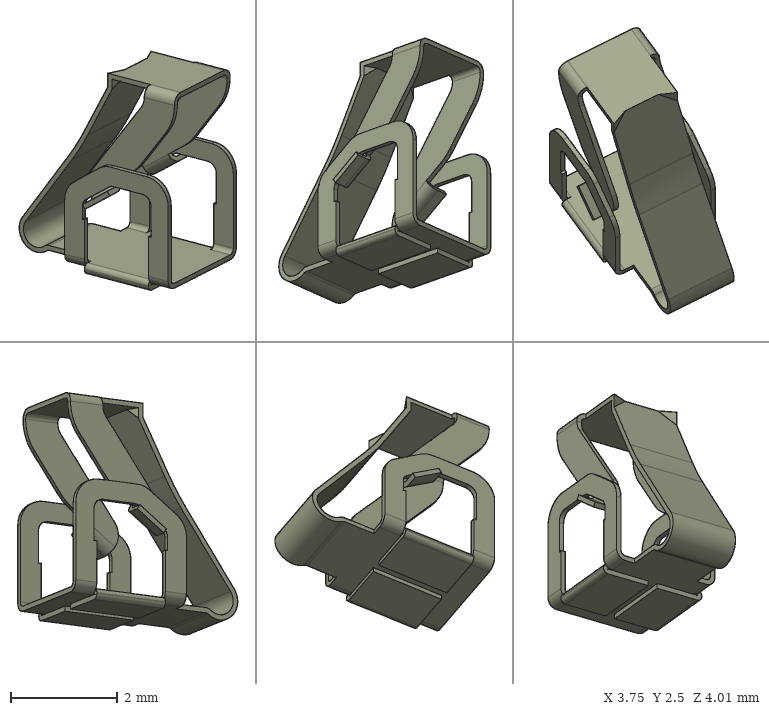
import cadquery as cq
import math

length = 3.75
height = 4.01
sheet = 0.1
bend_outer = 2 * sheet

strip_width = 1.4
arm_width_over = 1.8
leg_width_over = 2.2
tab_width_over = 2.5

arm_out = arm_width_over / 2
leg_out = leg_width_over / 2
tab_out = tab_width_over / 2

hem_gap = 0.01
base_bottom = sheet + hem_gap
base_start = 1.347
hem_inner = 0.1

loop_radius = 0.4
loop_center = (loop_radius, 0.41)
reverse_radius = 0.1
lower_slope = 54.2
upper_slope = 61.8
slope_bend_radius = 5.0
lip_x = 2.057
lip_bottom = 3.735
gusset_width = 0.335

frame_top = 2.318
rear_bar = 0.41
front_bar = 0.395
top_bar = 0.38
slant_bar = 0.4
slant = 35.0
slant_top_x = 2.26
foot_width = 0.457
foot_top = 1.115
frame_outer_radius = 0.5
frame_inner_radius = 0.2

arm_width = 0.7
arm_slope = 53.2
arm_rear_radius = 0.36
arm_front_radius = 1.002
arm_heel_radius = 0.4
arm_toe_radius = 1.002
tab_width = arm_width
tab_start = 0.313
tab_clearance = 0.055


tiny = 4.01e-05


def direction(degrees):
    return math.cos(math.radians(degrees)), math.sin(math.radians(degrees))


def along(point, degrees, distance):
    dx, dz = direction(degrees)
    return point[0] + distance * dx, point[1] + distance * dz


def meet(point_a, degrees_a, point_b, degrees_b):
    """Crossing of two lines, each given by a point and an angle."""
    ax, az = direction(degrees_a)
    bx, bz = direction(degrees_b)
    gap_x = point_b[0] - point_a[0]
    gap_z = point_b[1] - point_a[1]
    distance = (gap_x * bz - gap_z * bx) / (ax * bz - az * bx)
    return along(point_a, degrees_a, distance)


def rounding(before, corner, after, radius):
    """Start, middle and end of the arc that rounds a corner."""
    angle_in = math.atan2(before[1] - corner[1], before[0] - corner[0])
    angle_out = math.atan2(after[1] - corner[1], after[0] - corner[0])
    half = math.acos(math.cos(angle_out - angle_in)) / 2
    tangent = radius / math.tan(half)
    start = along(corner, math.degrees(angle_in), tangent)
    end = along(corner, math.degrees(angle_out), tangent)
    center_way = math.degrees(math.atan2(
        math.sin(angle_in) + math.sin(angle_out),
        math.cos(angle_in) + math.cos(angle_out),
    ))
    middle = along(corner, center_way, radius / math.sin(half) - radius)
    return start, middle, end


def rounded_outline(plane, corners):
    """Closed outline through (point, radius) corners; radius 0 stays sharp."""
    here = corners[0][0]
    outline = plane.moveTo(*here)
    for index in range(1, len(corners)):
        point, radius = corners[index]
        start, middle, end = point, None, point
        if radius > 0:
            before = corners[index - 1][0]
            after = corners[(index + 1) % len(corners)][0]
            start, middle, end = rounding(before, point, after, radius)
        if math.dist(here, start) > tiny:
            outline = outline.lineTo(*start)
        if radius > 0:
            outline = outline.threePointArc(middle, end)
        here = end
    return outline.close()


def side_sheet(corners, outer_face):
    """Upright sheet on the -Y side with its outer face at the given distance."""
    plane = cq.Workplane("XZ").workplane(offset=outer_face - sheet)
    return rounded_outline(plane, corners).extrude(sheet)


def quarter_bend(axis_point, first_way, axis_way, bend_length):
    """Quarter of a tube around an axis, beginning on the first_way side."""
    inner = bend_outer - sheet
    diagonal = math.sqrt(0.5)
    return (
        cq.Workplane(cq.Plane(origin=axis_point, xDir=first_way, normal=axis_way))
        .moveTo(inner, 0)
        .lineTo(bend_outer, 0)
        .threePointArc((bend_outer * diagonal, bend_outer * diagonal), (0, bend_outer))
        .lineTo(0, inner)
        .threePointArc((inner * diagonal, inner * diagonal), (inner, 0))
        .close()
        .extrude(bend_length)
    )


lip_foot = (lip_x, lip_bottom)
loop_tangent = along(loop_center, lower_slope + 90, loop_radius)
slope_corner = meet(loop_tangent, lower_slope, lip_foot, upper_slope)
slope_bend_start, _, _ = rounding(loop_tangent, slope_corner, lip_foot, slope_bend_radius)
slope_bend_center = along(slope_bend_start, lower_slope + 90, slope_bend_radius)

reverse_center_z = base_bottom - reverse_radius
reverse_angle = math.degrees(math.acos(
    (loop_center[1] - reverse_center_z) / (loop_radius + reverse_radius)
))
reverse_center = along(loop_center, reverse_angle - 90, loop_radius + reverse_radius)


def slope_x(z, depth):
    """X of the upper slope at a height, at a depth below its rear face."""
    on_face = along(lip_foot, upper_slope - 90, depth)
    return meet(on_face, upper_slope, (0, z), 0)[0]


def strip_line(depth):
    """Points of the strip's profile at a depth inside its outer face, from base to top."""
    loop_r = loop_radius - depth
    reverse_r = reverse_radius + depth
    bend_r = slope_bend_radius + depth
    loop_end = lower_slope + 90
    loop_begin = reverse_angle - 90
    loop_middle = (loop_begin + loop_end - 360) / 2
    bend_begin = lower_slope - 90
    bend_end = upper_slope - 90
    return [
        (length, base_bottom + depth),
        along(reverse_center, 90, reverse_r),
        along(reverse_center, 90 + reverse_angle / 2, reverse_r),
        along(reverse_center, 90 + reverse_angle, reverse_r),
        along(loop_center, loop_middle, loop_r),
        along(loop_center, loop_end, loop_r),
        along(slope_bend_center, bend_begin, bend_r),
        along(slope_bend_center, (bend_begin + bend_end) / 2, bend_r),
        along(slope_bend_center, bend_end, bend_r),
        (slope_x(height - depth, depth), height - depth),
        (length, height - depth),
    ]


def strip():
    outer = strip_line(0)
    inner = strip_line(sheet)
    inner.reverse()
    return (
        cq.Workplane("XZ")
        .moveTo(*outer[0])
        .lineTo(*outer[1])
        .threePointArc(outer[2], outer[3])
        .threePointArc(outer[4], outer[5])
        .lineTo(*outer[6])
        .threePointArc(outer[7], outer[8])
        .lineTo(*outer[9])
        .lineTo(*outer[10])
        .lineTo(*inner[0])
        .lineTo(*inner[1])
        .lineTo(*inner[2])
        .threePointArc(inner[3], inner[4])
        .lineTo(*inner[5])
        .threePointArc(inner[6], inner[7])
        .threePointArc(inner[8], inner[9])
        .lineTo(*inner[10])
        .close()
        .extrude(strip_width / 2, both=True)
    )


def gusset_wedge(depth):
    """Tetrahedron between the upper slope, the top and the slanting corner wall."""
    corner_x = lip_x + depth
    top_z = height - depth
    top_x = slope_x(top_z, depth)
    drop = (top_x - corner_x) * math.tan(math.radians(upper_slope))
    outer_drop = height - lip_bottom
    side = -strip_width / 2
    reach = gusset_width * drop / outer_drop
    corner = (corner_x, side, top_z)
    below = (corner_x, side, top_z - drop)
    front = (top_x, side, top_z)
    inward = (top_x, side + reach, top_z)
    triangles = [
        (corner, below, front),
        (corner, front, inward),
        (corner, inward, below),
        (below, inward, front),
    ]
    faces = [
        cq.Face.makeFromWires(cq.Wire.makePolygon([cq.Vector(*p) for p in triangle], close=True))
        for triangle in triangles
    ]
    return cq.Workplane(cq.Solid.makeSolid(cq.Shell.makeShell(faces)))


foot_starts = (base_start, length - foot_width)
hem_start = base_start + foot_width
hem_length = length - foot_width - hem_start


def wide_base():
    width = 2 * (leg_out - bend_outer)
    return (
        cq.Workplane("XY", origin=(0, 0, base_bottom))
        .moveTo((base_start + length) / 2, 0)
        .rect(length - base_start, width)
        .extrude(sheet)
    )


def hem():
    """Edge of the base on the -Y side, folded back flat under itself."""
    fold_height = base_bottom + sheet
    gap_depth = leg_out - sheet - hem_inner
    fold = (
        cq.Workplane("XY", origin=(hem_start, -leg_out, 0))
        .box(hem_length, leg_out - hem_inner, fold_height, centered=False)
        .edges("|X and <Y")
        .fillet(sheet)
    )
    gap = (
        cq.Workplane("XY", origin=(hem_start, -leg_out + sheet, sheet))
        .box(hem_length, gap_depth, hem_gap, centered=False)
    )
    return fold.cut(gap)


bend_top = base_bottom + bend_outer
slant_corner = meet((slant_top_x, frame_top), slant, (base_start, 0), 90)
slant_inner = along(slant_corner, slant - 90, slant_bar)


def side_frame():
    rear = base_start + rear_bar
    front = length - front_bar
    inner_top = frame_top - top_bar
    inner_rear = meet(slant_inner, slant, (rear, 0), 90)
    inner_slant_top = meet(slant_inner, slant, (0, inner_top), 0)
    plate = side_sheet([
        ((base_start, bend_top), 0),
        (slant_corner, frame_outer_radius),
        ((slant_top_x, frame_top), frame_outer_radius),
        ((length, frame_top), frame_outer_radius),
        ((length, bend_top), 0),
        ((length - foot_width, bend_top), 0),
        ((length - foot_width, foot_top), 0),
        ((front, foot_top), 0),
        ((front, inner_top), frame_inner_radius),
        (inner_slant_top, frame_inner_radius),
        (inner_rear, frame_inner_radius),
        ((rear, foot_top), 0),
        ((hem_start, foot_top), 0),
        ((hem_start, bend_top), 0),
    ], leg_out)
    for foot_x in foot_starts:
        axis_point = (foot_x, bend_outer - leg_out, bend_top)
        plate = plate.union(quarter_bend(axis_point, (0, -1, 0), (1, 0, 0), foot_width))
    return plate


tab_bottom = slant_bar + tab_clearance + sheet
shoulder = tab_bottom - bend_outer
shoulder_rear = along(along(slant_corner, slant, tab_start), slant - 90, shoulder)
shoulder_front = along(shoulder_rear, slant, tab_width)


def arm():
    rear = length - arm_width
    arm_top = height - bend_outer
    half_turn = math.tan(math.radians((90 - arm_slope) / 2))
    rear_corner = (rear, arm_top - arm_rear_radius * half_turn)
    front_corner = (length, arm_top - arm_front_radius * half_turn)
    heel = meet(rear_corner, arm_slope, shoulder_rear, slant + 90)
    toe = meet(front_corner, arm_slope, shoulder_front, slant)
    plate = side_sheet([
        ((rear, arm_top), 0),
        (rear_corner, arm_rear_radius),
        (heel, arm_heel_radius),
        (shoulder_rear, 0),
        (shoulder_front, 0),
        (toe, arm_toe_radius),
        (front_corner, arm_front_radius),
        ((length, arm_top), 0),
    ], arm_out)
    top_axis = (length, bend_outer - arm_out, arm_top)
    top_bend = quarter_bend(top_axis, (0, -1, 0), (-1, 0, 0), arm_width)
    return plate.union(top_bend)


def tab():
    bend_y = -(arm_out - sheet + bend_outer)
    ux, uz = direction(slant)
    axis_point = (shoulder_front[0], bend_y, shoulder_front[1])
    bend = quarter_bend(axis_point, (0, 1, 0), (-ux, 0, -uz), tab_width)
    flat = (
        cq.Workplane(cq.Plane(origin=axis_point, xDir=(0, 1, 0), normal=(-ux, 0, -uz)))
        .moveTo(0, bend_outer - sheet)
        .lineTo(0, bend_outer)
        .lineTo(-tab_out - bend_y, bend_outer)
        .lineTo(-tab_out - bend_y, bend_outer - sheet)
        .close()
        .extrude(tab_width)
    )
    return bend.union(flat)


result = strip().union(wide_base())
side_parts = [hem(), side_frame(), arm(), tab()]
for part in side_parts + [gusset_wedge(0)]:
    result = result.union(part).union(part.mirror("XZ"))
gusset_hollow = gusset_wedge(sheet)
result = result.cut(gusset_hollow).cut(gusset_hollow.mirror("XZ"))